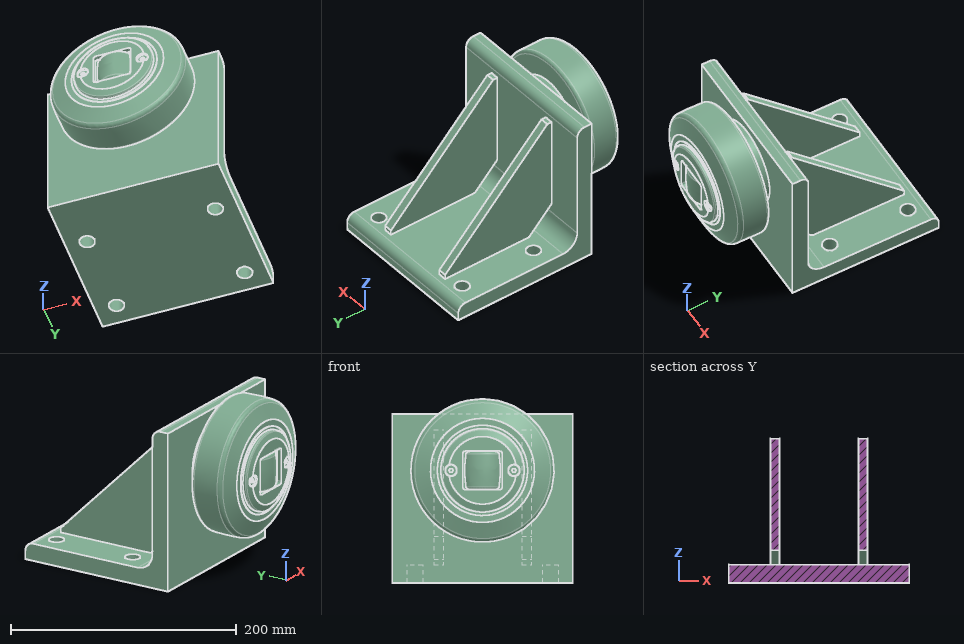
import cadquery as cq

TOTAL_LENGTH = 209.5
TOTAL_HEIGHT = 163.5

WIDTH = 160.0
LEG = 150.0
THICKNESS = 16.3
INNER_RADIUS = 16.0
TOE_RADIUS = 8.2

HOLE_DIAMETER = 13.8
HOLE_SPACING_X = 120.0
HOLE_SPACING_Y = 80.0
HOLE_EDGE_OFFSET = 20.1

GUSSET_THICKNESS = 8.4
GUSSET_SPACING = 78.0
GUSSET_REACH = 136.0
GUSSET_END = 4.8
GUSSET_RELIEF = 25.3

TOTAL_DEPTH = TOTAL_LENGTH - LEG
ROLLER_RADIUS = 63.5
ROLLER_HEIGHT = TOTAL_HEIGHT - ROLLER_RADIUS
CROWN = 0.52
ROLLER_BACK = 13.2
ROLLER_FRONT = 50.7
CONE_START = 43.5
FACE_RADIUS = 46.0
BACK_ROUNDING = 3.1
CONE_ROUNDING = 4.8
HUB_DIAMETER = 80.0
HUB_FRONT = 51.3

EDGE_SEARCH = 0.2

CAP_DIAMETER = 74.0
CAP_SHOULDER = 54.5
CAP_FRONT = 57.0
CAP_FACE_DIAMETER = 60.0
CAP_ROUNDING = 1.3

WINDOW_WIDTH = 35.0
WINDOW_HEIGHT = 34.4
WINDOW_CORNER = 2.5
WINDOW_FLOOR = 52.4
SIDE_RADIUS = 21.0
SIDE_LENGTH = 33.5
SIDE_CROWN = 1.0
SIDE_ROUNDING = 2.5

SCREW_SPACING = 55.7
SCREW_HOLE_DIAMETER = 10.5
SCREW_HEAD_DIAMETER = 9.8
SCREW_HEAD_FRONT = 55.3
SCREW_HOLE_FLOOR = 53.5
SOCKET_DIAMETER = 3.8
SOCKET_DEPTH = 1.7


def face_plane(front):
    """Plane parallel to the roller face, looking out along -Y."""
    return cq.Workplane("XZ", origin=(0, -front, ROLLER_HEIGHT))


def disc(diameter, back, front):
    """Round slice on the roller axis between two depths."""
    return face_plane(back).circle(diameter / 2).extrude(front - back)


def make_bracket():
    """L-shaped angle with rounded toes, a filleted root and four holes."""
    root = THICKNESS + INNER_RADIUS
    toe = THICKNESS - TOE_RADIUS
    angle = (
        cq.Workplane("YZ")
        .moveTo(0, 0)
        .lineTo(LEG, 0)
        .lineTo(LEG, toe)
        .radiusArc((LEG - TOE_RADIUS, THICKNESS), -TOE_RADIUS)
        .lineTo(root, THICKNESS)
        .radiusArc((THICKNESS, root), INNER_RADIUS)
        .lineTo(THICKNESS, LEG - TOE_RADIUS)
        .radiusArc((toe, LEG), -TOE_RADIUS)
        .lineTo(0, LEG)
        .close()
        .extrude(WIDTH / 2, both=True)
    )
    hole_middle = LEG - HOLE_EDGE_OFFSET - HOLE_SPACING_Y / 2
    holes = (
        cq.Workplane("XY")
        .center(0, hole_middle)
        .rarray(HOLE_SPACING_X, HOLE_SPACING_Y, 2, 2)
        .circle(HOLE_DIAMETER / 2)
        .extrude(THICKNESS)
    )
    return angle.cut(holes)


def make_gusset(x_middle):
    """Diagonal plate between the legs, cut away at the root of the angle."""
    inner = THICKNESS
    tip = THICKNESS + GUSSET_END
    relief = THICKNESS + GUSSET_RELIEF
    return (
        cq.Workplane("YZ", origin=(x_middle, 0, 0))
        .polyline([
            (relief, inner),
            (GUSSET_REACH, inner),
            (GUSSET_REACH, tip),
            (tip, GUSSET_REACH),
            (inner, GUSSET_REACH),
            (inner, relief),
        ])
        .close()
        .extrude(GUSSET_THICKNESS / 2, both=True)
    )


def revolve_outline(outline):
    """Turn a closed half outline, drawn in (Y, radius), about the roller axis."""
    return outline.close().revolve(360, (0, 0), (1, 0))


def ring_at(depth):
    """Selector for circular edges on the roller axis at a given depth."""
    reach = ROLLER_RADIUS
    back = depth - EDGE_SEARCH
    front = depth + EDGE_SEARCH
    return cq.selectors.BoxSelector(
        (-reach, -front, ROLLER_HEIGHT - reach),
        (reach, -back, ROLLER_HEIGHT + reach),
    )


def start_outline(depth):
    """Begin a half outline on the roller axis, at a given depth."""
    return cq.Workplane("YZ", origin=(0, 0, ROLLER_HEIGHT)).moveTo(-depth, 0)


def make_main_roller():
    """Crowned wheel with a conical front."""
    edge_radius = ROLLER_RADIUS - CROWN
    crown_middle = (ROLLER_BACK + CONE_START) / 2
    wheel = revolve_outline(
        start_outline(ROLLER_BACK)
        .lineTo(-ROLLER_BACK, edge_radius)
        .threePointArc((-crown_middle, ROLLER_RADIUS), (-CONE_START, edge_radius))
        .lineTo(-ROLLER_FRONT, FACE_RADIUS)
        .lineTo(-ROLLER_FRONT, 0)
    )
    wheel = wheel.faces(">Y").edges().fillet(BACK_ROUNDING)
    return wheel.edges(ring_at(CONE_START)).fillet(CONE_ROUNDING)


def make_cap():
    """Round cap with a bevelled rim."""
    cap_radius = CAP_DIAMETER / 2
    cap = revolve_outline(
        start_outline(HUB_FRONT)
        .lineTo(-HUB_FRONT, cap_radius)
        .lineTo(-CAP_SHOULDER, cap_radius)
        .lineTo(-CAP_FRONT, CAP_FACE_DIAMETER / 2)
        .lineTo(-CAP_FRONT, 0)
    )
    return cap.edges(ring_at(CAP_SHOULDER)).fillet(CAP_ROUNDING)


def make_side_roller():
    """Barrel on a vertical axis, standing out of the window to the full depth."""
    half_length = SIDE_LENGTH / 2
    end_radius = SIDE_RADIUS - SIDE_CROWN
    barrel = (
        cq.Workplane("XZ", origin=(0, SIDE_RADIUS - TOTAL_DEPTH, ROLLER_HEIGHT))
        .moveTo(0, -half_length)
        .lineTo(end_radius, -half_length)
        .threePointArc((SIDE_RADIUS, 0), (end_radius, half_length))
        .lineTo(0, half_length)
        .close()
        .revolve(360, (0, 0), (0, 1))
    )
    barrel = barrel.faces("|Z").edges().fillet(SIDE_ROUNDING)
    return barrel.intersect(disc(CAP_DIAMETER, ROLLER_BACK, TOTAL_DEPTH))


def make_window():
    """Rectangular recess in the cap face, with rounded corners."""
    depth = CAP_FRONT - WINDOW_FLOOR
    window = face_plane(WINDOW_FLOOR).rect(WINDOW_WIDTH, WINDOW_HEIGHT).extrude(depth)
    return window.edges("|Y").fillet(WINDOW_CORNER)


def make_screw_pockets():
    """Ring-shaped gap around each screw head, plus the hexagon socket in it."""
    screws = [(-SCREW_SPACING / 2, 0), (SCREW_SPACING / 2, 0)]
    holes = (
        face_plane(SCREW_HOLE_FLOOR)
        .pushPoints(screws)
        .circle(SCREW_HOLE_DIAMETER / 2)
        .extrude(CAP_FRONT - SCREW_HOLE_FLOOR)
    )
    heads = (
        face_plane(SCREW_HOLE_FLOOR)
        .pushPoints(screws)
        .circle(SCREW_HEAD_DIAMETER / 2)
        .extrude(SCREW_HEAD_FRONT - SCREW_HOLE_FLOOR)
    )
    sockets = (
        face_plane(SCREW_HEAD_FRONT - SOCKET_DEPTH)
        .pushPoints(screws)
        .polygon(6, SOCKET_DIAMETER)
        .extrude(SOCKET_DEPTH)
    )
    return holes.cut(heads).union(sockets)


bracket = make_bracket()
for side in (-1, 1):
    bracket = bracket.union(make_gusset(side * GUSSET_SPACING / 2))

roller = (
    disc(HUB_DIAMETER, 0, HUB_FRONT)
    .union(make_main_roller())
    .union(make_cap())
    .cut(make_window())
    .cut(make_screw_pockets())
    .union(make_side_roller())
)

result = bracket.union(roller)